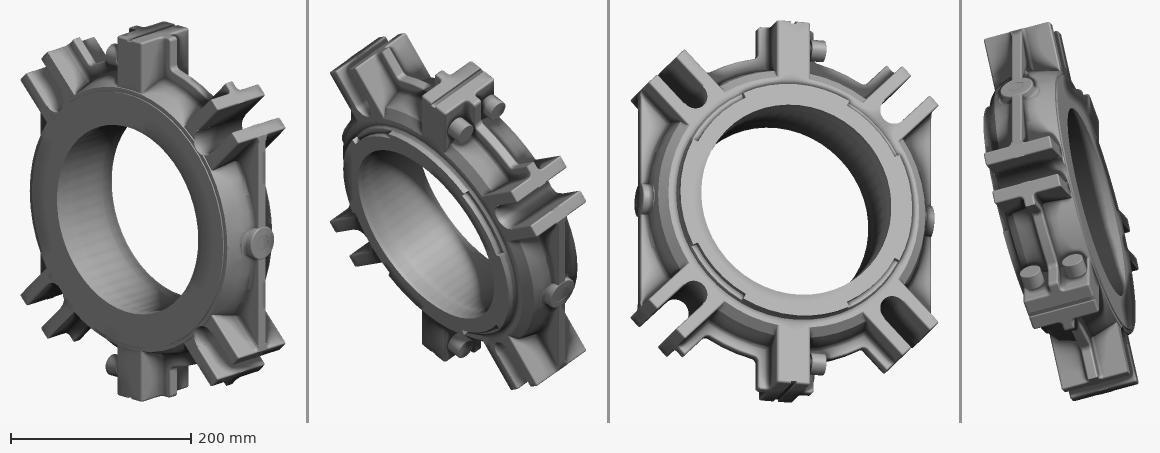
import cadquery as cq
import math

side_half = 335.92 / 2
lug_top = 419.07 / 2
front_y = -41.0
back_y = front_y + 89.99

bore_radius = 215.9 / 2
rear_bore_radius = 219.07 / 2
rear_bore_depth = 4.0
rear_taper_length = 12.5
front_face_radius = 292.1 / 2
front_step = 1.5
shoulder_radius = 151.0
waist_radius = 160.0
rear_edge_radius = 154.0
rear_face_radius = 144.5
rear_chamfer_depth = 8.7

flange_radius = 267.0 / 2
relief_radius = 127.5
neck_radius = 135.5
neck_length = 3.5
sector_half_angle = 27.2

half_depth = 38.5
web_half = 6.0
web_radius = 176.0
web_edge_round = 2.0
web_side_half = 167.5
web_side_height = 122.0
junction_round = 6.0
root_round = 4.5
wall_root = 130.0

lug_half = 19.5
lug_rib_half = 32.3
lug_rib_corner_round = 4.0
lug_edge_round = 3.0
lug_tip_round = 2.5
split_width = 6.0
split_depth = 3.0

arm_tip = 207.2
arm_half = 30.0
arm_rib_half = 42.5
arm_edge_round = 2.0
arm_tip_round = 1.8
slot_half = 14.8
slot_bottom = 147.0
slot_mouth_start = 163.0

bolt_diameter = 24.0
shank_diameter = 16.0
bolt_end = 38.4
bolt_seat = 22.0
bolt_height = 181.0
bolt_offset = 24.5
bolt_edge_round = 0.8

boss_diameter = 38.0
boss_edge_round = 1.5
boss_flare = 4.3
boss_flare_start = 157.0
boss_root = 150.0
boss_spot_diameter = 19.26
boss_spot_depth = 0.4

arm_angles = (45, 135, 225, 315)
lug_angles = (0, 180)


def turned(solid, angle):
    """Turn a solid about the ring axis."""
    return solid.rotate((0, 0, 0), (0, 1, 0), angle)


def edges_near(x, y, z, reach=1.0):
    """Selector for edges whose centre lies close to a point."""
    return cq.selectors.BoxSelector(
        (x - reach, y - reach, z - reach), (x + reach, y + reach, z + reach)
    )


def cylinder_y(radius, start, end):
    """Cylinder on the ring axis between two Y positions."""
    return cq.Workplane("XZ", origin=(0, start, 0)).circle(radius).extrude(start - end)


def ring_body():
    """Revolved body, bore and rear neck, flared on the mid plane into the web."""
    flare_y = web_half + root_round
    flare_radius = waist_radius + root_round
    flare_sag = root_round * (1 - math.sqrt(0.5))
    flare_mid = (waist_radius + flare_sag, web_half + flare_sag)
    shoulder_y = front_y + front_step
    rear_edge_y = half_depth - rear_chamfer_depth
    neck_end = half_depth + neck_length
    return (
        cq.Workplane("XY")
        .moveTo(bore_radius, front_y)
        .lineTo(front_face_radius, front_y)
        .lineTo(front_face_radius, shoulder_y)
        .lineTo(shoulder_radius, shoulder_y)
        .lineTo(waist_radius, -flare_y)
        .threePointArc((flare_mid[0], -flare_mid[1]), (flare_radius, -web_half))
        .lineTo(flare_radius, web_half)
        .threePointArc(flare_mid, (waist_radius, flare_y))
        .lineTo(rear_edge_radius, rear_edge_y)
        .lineTo(rear_face_radius, half_depth)
        .lineTo(neck_radius, half_depth)
        .lineTo(flange_radius, neck_end)
        .lineTo(flange_radius, back_y)
        .lineTo(rear_bore_radius, back_y)
        .lineTo(rear_bore_radius, back_y - rear_bore_depth)
        .lineTo(bore_radius, back_y - rear_bore_depth - rear_taper_length)
        .close()
        .revolve(360, (0, 0, 0), (0, 1, 0))
    )


def flange_relief():
    """Sector ring removed from the flange on one diagonal (built about +Z)."""
    step_y = half_depth + neck_length
    half_angle = math.radians(45 - sector_half_angle)
    reach = 2 * flange_radius
    spread = reach * math.tan(half_angle)
    wedge = (
        cq.Workplane("XZ", origin=(0, step_y, 0))
        .polyline([(0, 0), (spread, reach), (-spread, reach)])
        .close()
        .extrude(step_y - back_y)
    )
    return wedge.cut(cylinder_y(relief_radius, step_y, back_y))


def web_slab(width, height):
    """Rectangular slab on the mid plane, as thick as the web."""
    return cq.Workplane("XZ").rect(width, height).extrude(web_half, both=True)


def web():
    """Mid-plane web: disc, flat sides, lug ribs and arm ribs, with rounded edges."""
    plate = cq.Workplane("XZ").circle(web_radius).extrude(web_half, both=True)
    plate = plate.union(web_slab(2 * lug_rib_half, 2 * lug_top))
    for angle in arm_angles[:2]:
        plate = plate.union(turned(web_slab(2 * arm_rib_half, 2 * arm_tip), angle))
    plate = plate.union(web_slab(2 * web_side_half, 2 * web_side_height))
    plate = plate.intersect(web_slab(2 * web_side_half, 2 * lug_top))

    lug_corner_z = math.sqrt(web_radius**2 - lug_rib_half**2)
    arm_corner_d = math.sqrt(web_radius**2 - arm_rib_half**2)
    arm_corner_x = (arm_corner_d - arm_rib_half) / math.sqrt(2)
    arm_corner_z = (arm_corner_d + arm_rib_half) / math.sqrt(2)
    corners = (
        (lug_rib_half, lug_corner_z, junction_round),
        (arm_corner_x, arm_corner_z, junction_round),
        (lug_rib_half, lug_top, lug_rib_corner_round),
    )
    for x, z, radius in corners:
        for side in (-1, 1):
            for end in (-1, 1):
                corner = edges_near(side * x, 0, end * z)
                plate = plate.edges("|Y").edges(corner).fillet(radius)
    return plate.faces("<Y or >Y").edges().fillet(web_edge_round)


def standing_wall(half_width, tip):
    """Wall along +Z with a rounded root on both sides where it meets the web."""
    root_sag = root_round * (1 - math.sqrt(0.5))
    wall = (
        cq.Workplane("XY", origin=(0, 0, wall_root))
        .moveTo(0, half_depth)
        .lineTo(half_width, half_depth)
        .lineTo(half_width, web_half + root_round)
        .threePointArc(
            (half_width + root_sag, web_half + root_sag),
            (half_width + root_round, web_half),
        )
        .lineTo(half_width + root_round, 0)
        .lineTo(0, 0)
        .close()
        .extrude(tip - wall_root)
    )
    wall = wall.union(wall.mirror("YZ"))
    return wall.union(wall.mirror("XZ")).clean()


def lug():
    """Bolting lug on +Z."""
    wall = standing_wall(lug_half, lug_top)
    middle = (wall_root + lug_top) / 2
    for x in (-lug_half, lug_half):
        for y in (-half_depth, half_depth):
            wall = wall.edges("|Z").edges(edges_near(x, y, middle)).fillet(lug_edge_round)
    return wall.faces(">Z").edges().fillet(lug_tip_round)


def slotted_arm():
    """Pair of arms along +Z either side of a slot; the +X one borders the side web.

    The -X arm keeps a sharp outer edge at the front.
    """
    wall = standing_wall(arm_half, arm_tip).cut(arm_slot())
    middle = (wall_root + arm_tip) / 2
    rounded = ((arm_half, -half_depth), (arm_half, half_depth), (-arm_half, half_depth))
    for x, y in rounded:
        wall = wall.edges("|Z").edges(edges_near(x, y, middle)).fillet(arm_edge_round)
    return wall.faces(">Z").edges().fillet(arm_tip_round)


def split_groove():
    """Shallow groove across the end of a lug."""
    return (
        cq.Workplane("XY", origin=(0, 0, lug_top - split_depth))
        .rect(split_width, 2 * half_depth)
        .extrude(2 * split_depth)
    )


def bolts(end):
    """Pair of bolts on the -X side of one lug (end is +1 top, -1 bottom)."""
    heads = (
        cq.Workplane("YZ", origin=(-bolt_end, 0, end * bolt_height))
        .pushPoints([(-bolt_offset, 0), (bolt_offset, 0)])
        .circle(bolt_diameter / 2)
        .extrude(bolt_end - bolt_seat)
        .faces("<X").edges().fillet(bolt_edge_round)
    )
    shanks = (
        cq.Workplane("YZ", origin=(-bolt_seat, 0, end * bolt_height))
        .pushPoints([(-bolt_offset, 0), (bolt_offset, 0)])
        .circle(shank_diameter / 2)
        .extrude(bolt_seat)
    )
    return heads.union(shanks)


def slot_mouth():
    """Straight part of the slot along +Z, with rounded edges at both ends in Y."""
    edge_sag = arm_edge_round * (1 - math.sqrt(0.5))
    flank = half_depth - arm_edge_round
    lip = slot_half + arm_edge_round
    quarter = (
        cq.Workplane("XY", origin=(0, 0, slot_mouth_start))
        .moveTo(0, 0)
        .lineTo(slot_half, 0)
        .lineTo(slot_half, flank)
        .threePointArc((slot_half + edge_sag, half_depth - edge_sag), (lip, half_depth))
        .lineTo(lip, 2 * half_depth)
        .lineTo(0, 2 * half_depth)
        .close()
        .extrude(arm_tip)
    )
    half = quarter.union(quarter.mirror("YZ"))
    return half.union(half.mirror("XZ")).clean()


def arm_slot():
    """Open slot along +Z with a full round bottom."""
    bottom = (
        cq.Workplane("XZ")
        .center(0, slot_bottom + slot_half)
        .circle(slot_half)
        .extrude(2 * half_depth, both=True)
    )
    return bottom.union(slot_mouth())


def boss(side):
    """Round boss on the side web, with a shallow spot face."""
    radius = boss_diameter / 2
    flare_sag = boss_flare * (1 - math.sqrt(0.5))
    pad = (
        cq.Workplane("XY")
        .moveTo(boss_root, 0)
        .lineTo(boss_root, radius + boss_flare)
        .lineTo(boss_flare_start, radius + boss_flare)
        .threePointArc(
            (boss_flare_start + flare_sag, radius + flare_sag),
            (boss_flare_start + boss_flare, radius),
        )
        .lineTo(side_half, radius)
        .lineTo(side_half, 0)
        .close()
        .revolve(360, (0, 0, 0), (1, 0, 0))
        .faces(">X").edges().fillet(boss_edge_round)
    )
    spot = (
        cq.Workplane("YZ", origin=(side_half - boss_spot_depth, 0, 0))
        .circle(boss_spot_diameter / 2)
        .extrude(boss_spot_depth)
    )
    pad = pad.cut(spot)
    return pad if side > 0 else pad.mirror("YZ")


def build():
    """Assemble the web, ring, arms, lugs, bosses and bolts into one solid."""
    side_limit = cq.Workplane("XY").box(2 * web_side_half, 4 * half_depth, 3 * lug_top)
    arm = slotted_arm()
    mirrored_arm = arm.mirror("YZ")

    part = web().cut(cylinder_y(wall_root, -half_depth, half_depth))
    ring = ring_body()
    for angle in arm_angles:
        ring = ring.cut(turned(flange_relief(), angle))
    part = part.union(ring)
    for angle in arm_angles:
        part = part.cut(turned(arm_slot(), angle))

    for angle in arm_angles:
        shape = arm if angle in (45, 225) else mirrored_arm
        part = part.union(turned(shape, angle).intersect(side_limit))
    for angle in lug_angles:
        part = part.union(turned(lug(), angle))
    for side in (-1, 1):
        part = part.union(boss(side))
    for end in (-1, 1):
        part = part.union(bolts(end))
    for angle in lug_angles:
        part = part.cut(turned(split_groove(), angle))
    return part


result = build()